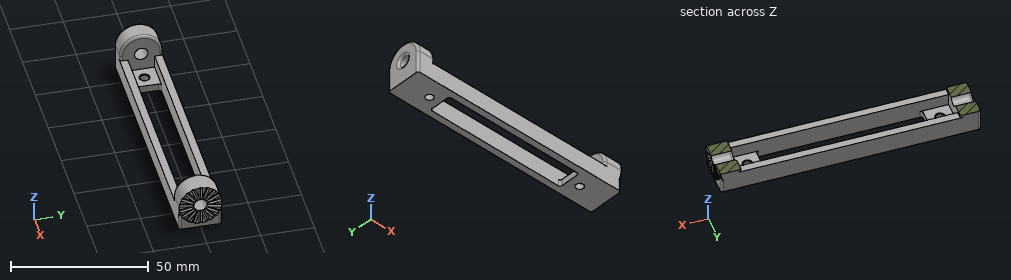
import cadquery as cq
length = 100.5
width = 16.0
height = 18.0
tooth_depth = 0.5
body_length = length - tooth_depth
lug_radius = width / 2
axis_height = height - lug_radius
lug_thickness = lug_radius
edge_radius = 1.0

rail_height = 8.0
rail_thickness = 3.0
pad_thickness = 3.0
pad_length = 10.0
gap_width = width - 2 * rail_thickness
window_corner_radius = 0.9

bore_radius = 2.5
pad_hole_radius = 1.66
pad_hole_chamfer = 0.3
pad_hole_from_lug = 5.0

groove_count = 18
groove_half_width = 0.7
collar_base_radius = 9.3

left_lug_end = lug_thickness
right_lug_start = body_length - lug_thickness
window_start = left_lug_end + pad_length
window_end = right_lug_start - pad_length


def block(start, end, depth, bottom, top):
    """Box from start to end along X, centred on Y."""
    return cq.Workplane("XY", origin=((start + end) / 2, 0, bottom)).box(
        end - start, depth, top - bottom, centered=(True, True, False)
    )


def lug_solid(start):
    """Round-topped slab standing on the bottom plane, extruded along X."""
    return (
        cq.Workplane("YZ", origin=(start, 0, 0))
        .moveTo(-lug_radius, 0)
        .lineTo(lug_radius, 0)
        .lineTo(lug_radius, axis_height)
        .threePointArc((0, height), (-lug_radius, axis_height))
        .close()
        .extrude(lug_thickness)
    )


def left_lug():
    """Lug with the sides and crown of both faces rounded, the bottom edges left sharp."""
    return lug_solid(0).faces("<X or >X").edges("not <Z").fillet(edge_radius)


def right_lug():
    """Lug with a rounded inner face and rounded outer corners that run out behind the teeth."""
    lug = lug_solid(right_lug_start).faces("<X").edges("not <Z").fillet(edge_radius)
    corner_block = block(right_lug_start, body_length, width, 0, height)
    corner_block = corner_block.edges("|Z and >X").fillet(edge_radius)
    collar = (
        cq.Workplane("XY")
        .moveTo(body_length - edge_radius, 0)
        .lineTo(body_length - edge_radius, collar_base_radius)
        .lineTo(body_length, lug_radius)
        .lineTo(body_length, 0)
        .close()
        .revolve(360, (0, 0, 0), (1, 0, 0))
        .translate((0, 0, axis_height))
    )
    return lug.intersect(corner_block).union(lug.intersect(collar))


def frame():
    """Two rails joined to the lugs, with a floor pad beside each lug and a window between the pads."""
    rails = block(left_lug_end - edge_radius, right_lug_start + edge_radius, width, 0, rail_height)
    trough = block(left_lug_end, right_lug_start, gap_width, pad_thickness, rail_height)
    window = block(window_start, window_end, gap_width, 0, pad_thickness)
    window = window.edges("|Z").fillet(window_corner_radius)
    return rails.cut(trough).cut(window)


def teeth():
    """Disc on the outer face, cut by a ring of radial V grooves."""
    disc = cq.Workplane("YZ", origin=(body_length, 0, axis_height)).circle(lug_radius).extrude(tooth_depth)
    groove = (
        cq.Workplane("XY", origin=(0, 0, axis_height))
        .moveTo(body_length, 0)
        .lineTo(length, groove_half_width)
        .lineTo(length, -groove_half_width)
        .close()
        .extrude(width)
    )
    for index in range(groove_count):
        angle = index * 360 / groove_count
        disc = disc.cut(groove.rotate((0, 0, axis_height), (1, 0, axis_height), angle))
    return disc


def eye_bore(start, end):
    """Cutter for an eye, from start to end along X, with a rounded mouth at the start."""
    return (
        cq.Workplane("XY")
        .moveTo(start, 0)
        .lineTo(start, bore_radius + edge_radius)
        .radiusArc((start + edge_radius, bore_radius), -edge_radius)
        .lineTo(end, bore_radius)
        .lineTo(end, 0)
        .close()
        .revolve(360, (0, 0, 0), (1, 0, 0))
        .translate((0, 0, axis_height))
    )


def pad_hole(x):
    """Cutter for a vertical hole through a pad, chamfered at its top."""
    hole = cq.Workplane("XY", origin=(x, 0, 0)).circle(pad_hole_radius).extrude(pad_thickness)
    chamfer = cq.Solid.makeCone(
        pad_hole_radius,
        pad_hole_radius + pad_hole_chamfer,
        pad_hole_chamfer,
        pnt=cq.Vector(x, 0, pad_thickness - pad_hole_chamfer),
    )
    return hole.union(cq.Workplane(chamfer))


result = left_lug().union(frame()).union(right_lug()).union(teeth())
result = result.cut(eye_bore(0, left_lug_end)).cut(eye_bore(right_lug_start, length))
for hole_x in (left_lug_end + pad_hole_from_lug, right_lug_start - pad_hole_from_lug):
    result = result.cut(pad_hole(hole_x))